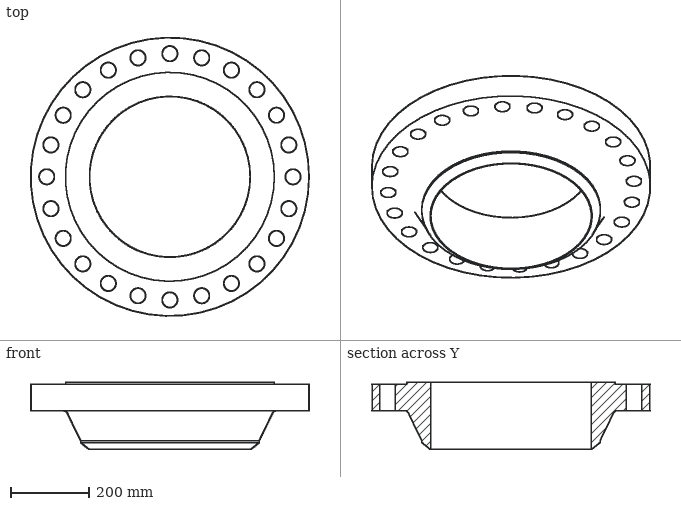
import cadquery as cq
import math

flange_diameter = 711.0
flange_thickness = 68.0
face_diameter = 533.5
face_height = 5.0

overall_height = 171.5
bore_diameter = 410.0
neck_top_diameter = 530.5
neck_fillet_radius = 10.0
neck_end_diameter = 456.5
weld_end_band = 5.0
bevel_diameter = 414.0
bevel_height = 17.0

bolt_count = 24
bolt_circle_diameter = 629.0
bolt_hole_diameter = 38.5

flange_top = overall_height - face_height
flange_bottom = flange_top - flange_thickness
taper_bottom = bevel_height + weld_end_band


def flange_body():
    """Revolve the half section (radius, height) about the Z axis and fillet the neck root."""
    section = [
        (bore_diameter / 2, 0),
        (bevel_diameter / 2, 0),
        (neck_end_diameter / 2, bevel_height),
        (neck_end_diameter / 2, taper_bottom),
        (neck_top_diameter / 2, flange_bottom),
        (flange_diameter / 2, flange_bottom),
        (flange_diameter / 2, flange_top),
        (face_diameter / 2, flange_top),
        (face_diameter / 2, overall_height),
        (bore_diameter / 2, overall_height),
    ]
    body = cq.Workplane("XZ").polyline(section).close().revolve(360, (0, 0, 0), (0, 1, 0))
    neck_root = body.edges("%CIRCLE").filter(
        lambda edge: math.isclose(edge.Center().z, flange_bottom, abs_tol=7.11e-06)
        and math.isclose(edge.radius(), neck_top_diameter / 2, abs_tol=7.11e-06)
    )
    return neck_root.fillet(neck_fillet_radius)


def bolt_holes():
    """Through-hole cutters spaced evenly on the bolt circle."""
    return (
        cq.Workplane("XY")
        .workplane(offset=flange_bottom)
        .polarArray(bolt_circle_diameter / 2, 0, 360, bolt_count)
        .circle(bolt_hole_diameter / 2)
        .extrude(flange_thickness)
    )


result = flange_body().cut(bolt_holes())